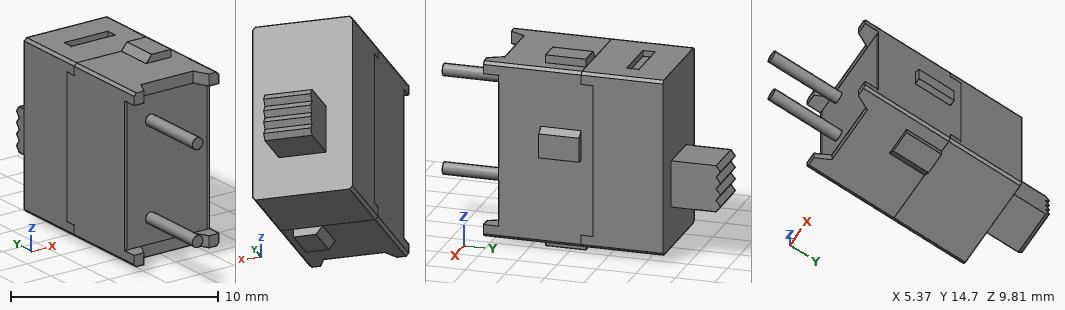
import cadquery as cq


case_width = 5.05
case_height = 9.0
edge_chamfer = 0.15
seam_y = -4.14
base_front_y = -8.31
leg_tip_y = -9.09

tongue_thickness = 0.15
tongue_height = 7.75
tongue_rear_y = -3.54

slot_width = 2.58
slot_length = 0.62
slot_depth = 0.3
slot_center_y = -1.91

notch_half_width_inner = 1.54
notch_half_width_outer = 1.94

latch_length = 2.04
end_latch_height = 0.404
end_latch_left_x = 0.28
end_latch_right_x = 1.76
end_latch_slope = 0.34
side_latch_height = 0.32
side_latch_top_z = 1.5
side_latch_bottom_z = -0.01
side_latch_slope = 0.28

knob_size = 2.38
knob_length = 2.5
knob_center_z = -1.25
tooth_count = 4
tooth_depth = 0.22

terminal_diameter = 0.62
terminal_x = -0.97
terminal_spacing = 5.06
terminal_length = 3.88


def box_between(width, height, front_y, rear_y):
    """Box centred on X and Z that runs from front_y to rear_y."""
    length = rear_y - front_y
    return cq.Workplane("XY").box(width, length, height).translate((0, (front_y + rear_y) / 2, 0))


def case_section(front_y, rear_y):
    """Length of the case with its four long edges chamfered."""
    return box_between(case_width, case_height, front_y, rear_y).edges("|Y").chamfer(edge_chamfer)


def make_tongues():
    """Pair of thin plates, flush with the case sides, behind the seam."""
    plates = box_between(case_width, tongue_height, seam_y, tongue_rear_y)
    core_width = case_width - 2 * tongue_thickness
    return plates.cut(box_between(core_width, tongue_height, seam_y, tongue_rear_y))


def extrude_latch(profile):
    """Latch with the given (x, z) profile, running forward from the seam."""
    return cq.Workplane("XZ", origin=(0, seam_y, 0)).polyline(profile).close().extrude(latch_length)


def make_end_latch():
    """Latch on the top of the base, sloped on its -X flank."""
    root_z = case_height / 2
    tip_z = root_z + end_latch_height
    return extrude_latch([
        (end_latch_left_x, root_z),
        (end_latch_right_x, root_z),
        (end_latch_right_x, tip_z),
        (end_latch_left_x + end_latch_slope, tip_z),
    ])


def make_side_latch():
    """Latch on the +X side of the base, sloped at its upper end."""
    root_x = case_width / 2
    tip_x = root_x + side_latch_height
    return extrude_latch([
        (root_x, side_latch_bottom_z),
        (tip_x, side_latch_bottom_z),
        (tip_x, side_latch_top_z - side_latch_slope),
        (root_x, side_latch_top_z),
    ])


def make_cover():
    """Rear half of the case, recessed for the tongues, with a slot on top."""
    slot = (
        cq.Workplane("XY", origin=(0, slot_center_y, case_height / 2))
        .rect(slot_width, slot_length)
        .extrude(-slot_depth)
    )
    return case_section(seam_y, 0).cut(make_tongues()).cut(slot)


def make_base():
    """Open front frame with four feet, two side tongues and three latches."""
    frame = case_section(leg_tip_y, seam_y)
    foot_gap = box_between(case_width, tongue_height, leg_tip_y, base_front_y)
    notch = (
        cq.Workplane("XY")
        .polyline([
            (-notch_half_width_outer, leg_tip_y),
            (notch_half_width_outer, leg_tip_y),
            (notch_half_width_inner, base_front_y),
            (-notch_half_width_inner, base_front_y),
        ])
        .close()
        .extrude(case_height / 2, both=True)
    )
    frame = frame.cut(foot_gap).cut(notch).cut(make_block())
    end_latch = make_end_latch()
    return (
        frame.union(make_tongues())
        .union(end_latch)
        .union(end_latch.mirror("XY"))
        .union(make_side_latch())
    )


def make_block():
    """Block that fills the base frame flush with its front."""
    block_width = case_width - 2 * tongue_thickness
    return box_between(block_width, tongue_height, base_front_y, seam_y)


def make_terminal_block():
    """Block with its two round terminals."""
    terminals = (
        cq.Workplane("XZ", origin=(terminal_x, base_front_y, 0))
        .rarray(0.15, terminal_spacing, 1, 2)
        .circle(terminal_diameter / 2)
        .extrude(terminal_length)
    )
    return make_block().union(terminals)


def make_slider():
    """Square knob on the rear face, with a toothed grip across its end."""
    pitch = knob_size / tooth_count
    bottom_z = knob_center_z - knob_size / 2
    valley_y = knob_length - tooth_depth
    profile = [(0, bottom_z), (valley_y, bottom_z)]
    for tooth in range(tooth_count):
        tooth_z = bottom_z + tooth * pitch
        profile.append((knob_length, tooth_z + pitch / 2))
        profile.append((valley_y, tooth_z + pitch))
    profile.append((0, bottom_z + knob_size))
    return cq.Workplane("YZ").polyline(profile).close().extrude(knob_size / 2, both=True)


cover = make_cover()
base = make_base()
terminal_block = make_terminal_block()
slider = make_slider()

bodies = [cover, base, terminal_block, slider]
result = cq.Compound.makeCompound([body.solids().val() for body in bodies])